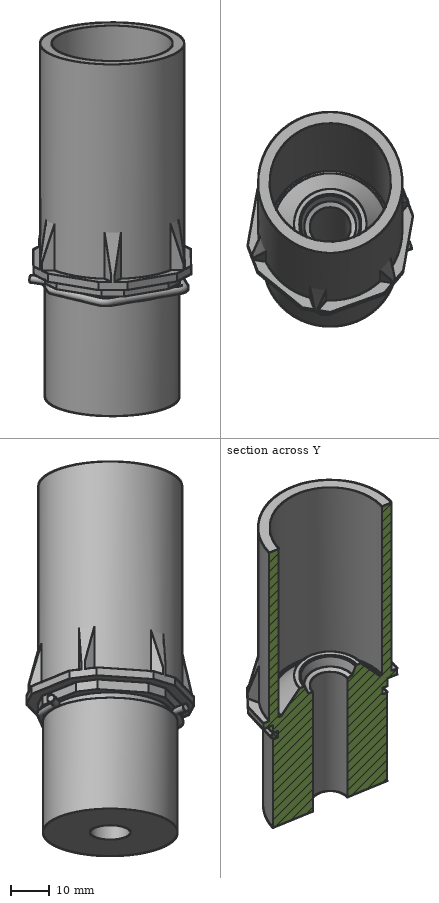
import cadquery as cq
import math

total_height = 96.0
spigot_height = 30.8
neck_height = 2.7
flange_thickness = 2.2

tube_diameter = 37.5
tube_radius = tube_diameter / 2
tube_bore_radius = 15.7
flange_width = 41.0
flange_rib_width = 43.0
flange_side_apothem = flange_width / 2
flange_rib_apothem = flange_rib_width / 2
hexagon_turn = 30.0
neck_inset = 3.0
spigot_radius = flange_side_apothem - neck_inset
groove_radius = 16.0

rib_count = 6
rib_tip_width = 1.0
rib_flank_angle = 30.0
rib_slope_angle = 14.6
rib_height = 12.5
rib_root_depth = 1.0
rib_root_radius = tube_radius - rib_root_depth

nozzle_base_radius = 15.1
nozzle_rim_radius = 9.4
nozzle_side_angle = 51.0
nozzle_mouth_radius = 8.1
mouth_chamfer_radius = 7.7
mouth_chamfer_angle = 30.0
seat_radius = 6.7
seat_side_angle = 70.0
passage_radius = 5.3
seat_floor_angle = 20.0

wire_diameter = 2.0
lobe_slope_angle = 20.0
lobe_vertex_y = 18.4
tip_slope_angle = 32.0
tip_x = -11.2
tip_y = 17.9
bend_radius = 2.0
corner_bend_radius = 2.8


def tan_deg(angle):
    return math.tan(math.radians(angle))


wire_radius = wire_diameter / 2
groove_top = spigot_height + wire_diameter
flange_bottom = groove_top + neck_height
flange_top = flange_bottom + flange_thickness
nozzle_top = flange_top + (nozzle_base_radius - nozzle_rim_radius) * tan_deg(nozzle_side_angle)
wire_height = spigot_height + wire_radius
clip_back_x = groove_radius + wire_radius


def cylinder(radius, bottom, top):
    return cq.Workplane("XY").workplane(offset=bottom).circle(radius).extrude(top - bottom)


def hexagon_prism(apothem, turn, bottom, top):
    """Hexagonal prism; with no turn, two of its faces look along Y."""
    corner_diameter = 2 * apothem / math.cos(math.pi / 6)
    prism = cq.Workplane("XY").workplane(offset=bottom).polygon(6, corner_diameter).extrude(top - bottom)
    return prism.rotate((0, 0, 0), (0, 0, 1), turn)


def twelve_sided_plate(inset, bottom, top):
    """Plate bounded by two sets of six faces at different distances from the axis."""
    rib_faces = hexagon_prism(flange_rib_apothem - inset, 0, bottom, top)
    side_faces = hexagon_prism(flange_side_apothem - inset, hexagon_turn, bottom, top)
    return rib_faces.intersect(side_faces)


def revolve_about_axis(profile):
    """Solid of revolution about Z from (radius, height) points."""
    return cq.Workplane("XZ").polyline(profile).close().revolve(360, (0, 0, 0), (0, 1, 0))


def make_rib():
    """Rib toward -Y, narrowing outward, its top cut by a cone about the tube axis."""
    root_half_width = rib_tip_width / 2 + (flange_rib_apothem - rib_root_radius) * tan_deg(rib_flank_angle)
    wedge = (
        cq.Workplane("XY")
        .workplane(offset=flange_top)
        .polyline([
            (-root_half_width, -rib_root_radius),
            (root_half_width, -rib_root_radius),
            (rib_tip_width / 2, -flange_rib_apothem),
            (-rib_tip_width / 2, -flange_rib_apothem),
        ])
        .close()
        .extrude(rib_height)
    )
    cone_top = flange_top + rib_height
    cone_radius = flange_rib_apothem + rib_tip_width
    cone_bottom = cone_top - (cone_radius - tube_radius) / tan_deg(rib_slope_angle)
    cone = revolve_about_axis([
        (0, flange_top),
        (cone_radius, flange_top),
        (cone_radius, cone_bottom),
        (tube_radius, cone_top),
        (0, cone_top),
    ])
    return wedge.intersect(cone)


def make_nozzle():
    """Solid cone with a flat rim on the floor of the tube."""
    return revolve_about_axis([
        (0, flange_top),
        (nozzle_base_radius, flange_top),
        (nozzle_rim_radius, nozzle_top),
        (0, nozzle_top),
    ])


def make_passage():
    """Stepped mouth of the nozzle and the straight passage below it."""
    chamfer_bottom = nozzle_top - (nozzle_mouth_radius - mouth_chamfer_radius) * tan_deg(mouth_chamfer_angle)
    seat_height = chamfer_bottom - (mouth_chamfer_radius - seat_radius) * tan_deg(seat_side_angle)
    passage_top = seat_height - (seat_radius - passage_radius) * tan_deg(seat_floor_angle)
    return revolve_about_axis([
        (0, 0),
        (passage_radius, 0),
        (passage_radius, passage_top),
        (seat_radius, seat_height),
        (mouth_chamfer_radius, chamfer_bottom),
        (nozzle_mouth_radius, nozzle_top),
        (0, nozzle_top),
    ])


def make_housing():
    """Spigot, grooved neck, ribbed flange and tube, with a nozzle inside."""
    body = cylinder(spigot_radius, 0, spigot_height)
    body = body.union(cylinder(groove_radius, spigot_height, groove_top))
    body = body.union(twelve_sided_plate(neck_inset, groove_top, flange_bottom))
    body = body.union(twelve_sided_plate(0, flange_bottom, flange_top))
    body = body.union(cylinder(tube_radius, flange_top, total_height))
    rib = make_rib()
    for index in range(rib_count):
        body = body.union(rib.rotate((0, 0, 0), (0, 0, 1), index * 360 / rib_count))
    body = body.cut(cylinder(tube_bore_radius, flange_top, total_height))
    body = body.union(make_nozzle())
    return body.cut(make_passage())


def bend(before, corner, after, radius):
    """Start, middle and end of the arc that rounds the corner between two straight runs."""
    corner, before, after = cq.Vector(corner), cq.Vector(before), cq.Vector(after)
    back = (before - corner).normalized()
    ahead = (after - corner).normalized()
    half_angle = back.getAngle(ahead) / 2
    setback = radius / math.tan(half_angle)
    middle_distance = radius / math.sin(half_angle) - radius
    middle = corner + (back + ahead).normalized() * middle_distance
    return corner + back * setback, middle, corner + ahead * setback


def make_clip():
    """Open loop of round wire, the same on both sides of the XZ plane."""
    lobe_slope = tan_deg(lobe_slope_angle)
    tip_slope = tan_deg(tip_slope_angle)
    dip_x = (tip_y + tip_slope * tip_x - lobe_vertex_y) / (tip_slope + lobe_slope)
    half_corners = [
        (dip_x, -lobe_vertex_y - lobe_slope * dip_x, bend_radius),
        (0, -lobe_vertex_y, bend_radius),
        (clip_back_x, -lobe_vertex_y + lobe_slope * clip_back_x, corner_bend_radius),
    ]
    corners = half_corners + [(x, -y, radius) for x, y, radius in reversed(half_corners)]
    points = [(tip_x, -tip_y)] + [(x, y) for x, y, radius in corners] + [(tip_x, tip_y)]

    path = cq.Workplane("XY").workplane(offset=wire_height).moveTo(*points[0])
    for index, (x, y, radius) in enumerate(corners):
        start, middle, end = bend(points[index], (x, y), points[index + 2], radius)
        path = path.lineTo(start.x, start.y)
        path = path.threePointArc((middle.x, middle.y), (end.x, end.y))
    path = path.lineTo(*points[-1])

    run_direction = cq.Vector(1, tip_slope, 0)
    across_run = cq.Vector(tip_slope, -1, 0)
    tip_plane = cq.Plane(origin=(tip_x, -tip_y, wire_height), xDir=across_run, normal=run_direction)
    return cq.Workplane(tip_plane).circle(wire_radius).sweep(path)


housing = make_housing()
clip = make_clip()

result = cq.Compound.makeCompound([housing.solids().val(), clip.val()])